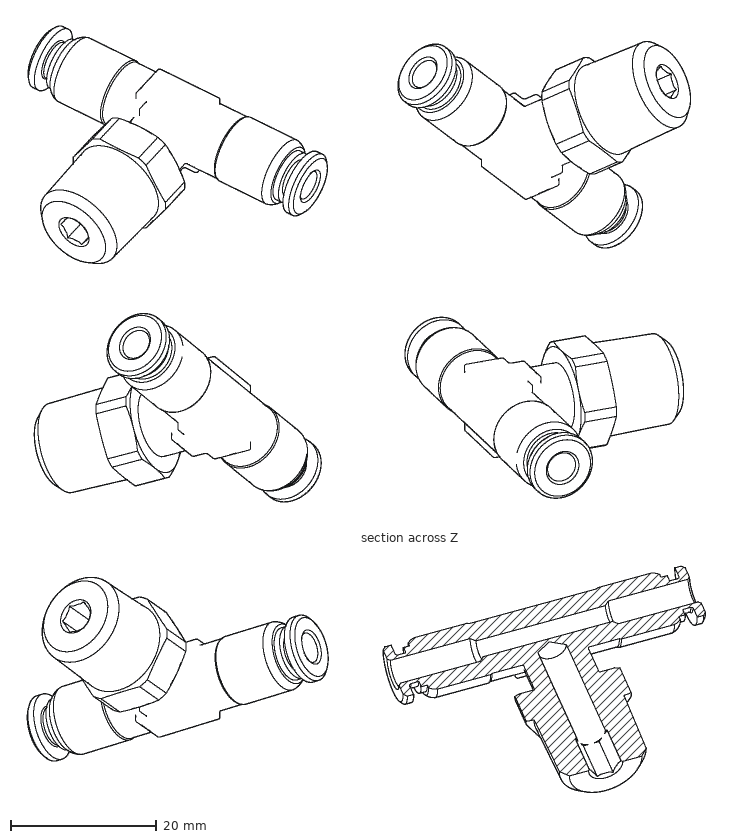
import cadquery as cq
import math

tube_radius = 4.75
sleeve_radius = 4.9
sleeve_inner_x = 9.3
sleeve_step_length = 0.25
sleeve_nose_x = 17.3
sleeve_end_x = 18.4
sleeve_end_radius = 4.25
nose_bulge = 0.12

run_half_length = 22.1
collar_radius = 3.75
collar_length = 0.9
stem_radius = 2.75
stem_cone_length = 0.25
stem_cone_radius = 2.9
flange_radius = 4.7
flange_length = 1.4
flange_chamfer_length = 0.45
flange_face_radius = 4.2

socket_radius = 2.1
socket_mouth_radius = 2.45
socket_mouth_depth = 0.35
socket_depth = 12.0
passage_radius = 1.45

neck_radius = tube_radius
nut_start = 9.35
nut_length = 5.1
nut_across_flats = 14.0
nut_corner_radius = 7.7
nut_face_radius = 7.0
nut_near_bevel = 0.25
nut_far_bevel = 0.1
branch_length = 25.5
thread_start_radius = 6.6
thread_end_radius = 6.36
thread_chamfer_length = 1.2
thread_face_radius = 5.3

key_across_flats = 4.0
key_depth = 6.0
key_mouth_radius = 2.5
drill_radius = 2.05
drill_shoulder = 3.3
drill_point_angle = 118.0

pad_height = 5.0
pad_half_width = 5.15
pad_back_y = 3.0
pad_front_y = -2.95
pad_leg_half_width = 3.05
pad_leg_end_y = -5.15
pad_corner_radius = 0.35
pad_rim_radius = 0.2

blend_radius = 0.18

tolerance = 0.001


def revolve_about_x(outline):
    return outline.close().revolve(360, (0, 0, 0), (1, 0, 0))


def revolve_about_y(outline):
    return outline.close().revolve(360, (0, 0, 0), (0, 1, 0))


def make_run_half():
    """Right half of the run: tube, sleeve and release collet."""
    collar_end_x = sleeve_end_x + collar_length
    flange_x = run_half_length - flange_length
    nose_middle = (
        (sleeve_nose_x + sleeve_end_x) / 2,
        (sleeve_radius + sleeve_end_radius) / 2 + nose_bulge,
    )
    outline = (
        cq.Workplane("XY")
        .lineTo(0, tube_radius)
        .lineTo(sleeve_inner_x, tube_radius)
        .lineTo(sleeve_inner_x + sleeve_step_length, sleeve_radius)
        .lineTo(sleeve_nose_x, sleeve_radius)
        .threePointArc(nose_middle, (sleeve_end_x, sleeve_end_radius))
        .lineTo(sleeve_end_x, collar_radius)
        .lineTo(collar_end_x, collar_radius)
        .lineTo(collar_end_x, stem_radius)
        .lineTo(flange_x - stem_cone_length, stem_radius)
        .lineTo(flange_x, stem_cone_radius)
        .lineTo(flange_x, flange_radius)
        .lineTo(run_half_length - flange_chamfer_length, flange_radius)
        .lineTo(run_half_length, flange_face_radius)
        .lineTo(run_half_length, 0)
    )
    return revolve_about_x(outline)


def make_run_passage_half():
    """Right half of the run passage: tube socket with a countersunk mouth."""
    socket_end_x = run_half_length - socket_depth
    outline = (
        cq.Workplane("XY")
        .lineTo(0, passage_radius)
        .lineTo(socket_end_x - (socket_radius - passage_radius), passage_radius)
        .lineTo(socket_end_x, socket_radius)
        .lineTo(run_half_length - socket_mouth_depth, socket_radius)
        .lineTo(run_half_length, socket_mouth_radius)
        .lineTo(run_half_length, 0)
    )
    return revolve_about_x(outline)


def with_mirror(half):
    return half.union(half.mirror("YZ"))


def make_branch():
    """Plain neck and tapered thread blank."""
    thread_start_y = -(nut_start + nut_length)
    outline = (
        cq.Workplane("XY")
        .lineTo(neck_radius, 0)
        .lineTo(neck_radius, thread_start_y)
        .lineTo(thread_start_radius, thread_start_y)
        .lineTo(thread_end_radius, thread_chamfer_length - branch_length)
        .lineTo(thread_face_radius, -branch_length)
        .lineTo(0, -branch_length)
    )
    return revolve_about_y(outline)


def hexagon_prism(across_flats, start_y, length):
    """Hexagon prism running toward -Y, with two flats facing up and down."""
    across_corners = across_flats / math.cos(math.radians(30))
    return (
        cq.Workplane("XZ", origin=(0, start_y, 0))
        .polygon(6, across_corners)
        .extrude(length)
    )


def make_nut():
    """Hexagon nut with rounded corners and bevelled end faces."""
    near_y = -nut_start
    far_y = near_y - nut_length
    envelope = revolve_about_y(
        cq.Workplane("XY")
        .moveTo(0, near_y)
        .lineTo(nut_face_radius, near_y)
        .lineTo(nut_corner_radius, near_y - nut_near_bevel)
        .lineTo(nut_corner_radius, far_y + nut_far_bevel)
        .lineTo(nut_face_radius, far_y)
        .lineTo(0, far_y)
    )
    return hexagon_prism(nut_across_flats, near_y, nut_length).intersect(envelope)


def make_pads():
    """T-shaped blocks standing out above and below the body."""
    return (
        cq.Workplane("XY", origin=(0, 0, -pad_height))
        .moveTo(-pad_half_width, pad_back_y)
        .lineTo(pad_half_width, pad_back_y)
        .lineTo(pad_half_width, pad_front_y)
        .lineTo(pad_leg_half_width, pad_front_y)
        .lineTo(pad_leg_half_width, pad_leg_end_y)
        .lineTo(-pad_leg_half_width, pad_leg_end_y)
        .lineTo(-pad_leg_half_width, pad_front_y)
        .lineTo(-pad_half_width, pad_front_y)
        .close()
        .extrude(2 * pad_height)
        .edges("|Z")
        .fillet(pad_corner_radius)
        .faces("|Z")
        .edges()
        .fillet(pad_rim_radius)
    )


def make_branch_bore():
    """Key socket with countersunk mouth, then a blind drilled hole."""
    point_length = drill_radius / math.tan(math.radians(drill_point_angle / 2))
    drill = revolve_about_y(
        cq.Workplane("XY")
        .moveTo(0, -branch_length)
        .lineTo(key_mouth_radius, -branch_length)
        .lineTo(drill_radius, -branch_length + key_mouth_radius - drill_radius)
        .lineTo(drill_radius, -drill_shoulder)
        .lineTo(0, point_length - drill_shoulder)
    )
    return drill.union(hexagon_prism(key_across_flats, key_depth - branch_length, key_depth))


def is_inside_corner(edge):
    """True for edges in the pad area that lie on the run tube or on the neck."""
    point = edge.positionAt(0.5)
    in_pad_area = (
        abs(point.x) < pad_half_width + tolerance
        and pad_leg_end_y - tolerance < point.y < pad_back_y + tolerance
    )
    on_tube = abs(math.hypot(point.y, point.z) - tube_radius) < tolerance
    on_neck = abs(math.hypot(point.x, point.z) - neck_radius) < tolerance
    return in_pad_area and (on_tube or on_neck)


def blend_inside_corners(body):
    corners = [edge for edge in body.edges().vals() if is_inside_corner(edge)]
    return body.newObject(corners).fillet(blend_radius)


moulded_body = with_mirror(make_run_half()).union(make_branch()).union(make_pads())
body = blend_inside_corners(moulded_body.clean()).union(make_nut())
result = body.cut(with_mirror(make_run_passage_half())).cut(make_branch_bore())